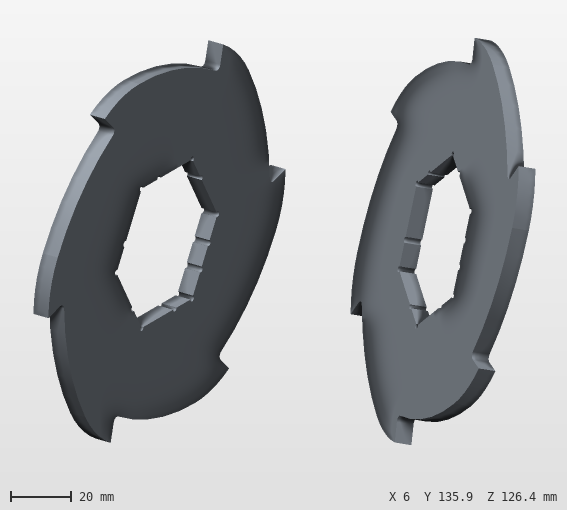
import cadquery as cq
import math

THICKNESS = 6.0
TOOTH_COUNT = 6
TOOTH_PITCH = 360.0 / TOOTH_COUNT

TIP_RADIUS = 67.99
TIP_ANGLE = -1.65
FACE_SLOPE = -15.4
CREST_ARC_RADIUS = 40.3
BACK_ARC_RADIUS = 89.1
JOINT_RADIUS = 65.16
JOINT_ANGLE = 15.97
ROOT_FILLET = 1.85

HEX_SIDES = 6
HEX_ACROSS_FLATS = 50.1
NOTCH_RADIUS = 1.0
NOTCH_OFFSET = 4.5
MARKED_SIDE = 3

HEX_INRADIUS = HEX_ACROSS_FLATS / 2
HEX_CIRCUMRADIUS = HEX_INRADIUS / math.cos(math.pi / HEX_SIDES)


def polar(radius, degrees):
    """Point at a given distance and direction from the disc axis."""
    angle = math.radians(degrees)
    return cq.Vector(radius * math.cos(angle), radius * math.sin(angle))


def turn(point, degrees):
    """Rotate a point or direction about the disc axis."""
    x, y = point.x, point.y
    angle = math.radians(degrees)
    cosine = math.cos(angle)
    sine = math.sin(angle)
    return cq.Vector(x * cosine - y * sine, x * sine + y * cosine)


def flat(point):
    """Planar coordinates of a point."""
    return point.x, point.y


def arc_middle(center, radius, start, end):
    """Point halfway along the minor arc from start to end."""
    return center + ((start + end) * 0.5 - center).normalized() * radius


def disc_plane():
    """Plane of the -X face: local x runs along -Y, local y along +Z."""
    return cq.Workplane(cq.Plane(origin=(0, 0, 0), xDir=(0, -1, 0), normal=(-1, 0, 0)))


def tooth_points():
    """Points of one tooth, from its tip counter-clockwise to the next tip."""
    tip = polar(TIP_RADIUS, TIP_ANGLE)
    joint = polar(JOINT_RADIUS, JOINT_ANGLE)

    chord = joint - tip
    inward = turn(chord.normalized(), 90)
    sag_leg = math.sqrt(CREST_ARC_RADIUS**2 - (chord.Length / 2) ** 2)
    crest_center = (tip + joint) * 0.5 + inward * sag_leg

    back_center = joint + (crest_center - joint).normalized() * BACK_ARC_RADIUS

    next_tip = turn(tip, TOOTH_PITCH)
    face_inward = polar(-1, FACE_SLOPE + TOOTH_PITCH)
    root = root_points(next_tip, face_inward, back_center)
    back_end = root[0]

    return [
        arc_middle(crest_center, CREST_ARC_RADIUS, tip, joint),
        joint,
        arc_middle(back_center, BACK_ARC_RADIUS, joint, back_end),
        *root,
        next_tip,
    ]


def root_points(face_tip, face_inward, back_center):
    """Points of the fillet from the back arc to the cutting face."""
    face_normal = turn(face_inward, 90)

    fillet_reach = BACK_ARC_RADIUS + ROOT_FILLET
    line_start = face_tip + face_normal * ROOT_FILLET
    to_start = line_start - back_center
    along = to_start.dot(face_inward)
    travel = -along - math.sqrt(along**2 - to_start.dot(to_start) + fillet_reach**2)
    fillet_center = line_start + face_inward * travel

    back_end = back_center + (fillet_center - back_center).normalized() * BACK_ARC_RADIUS
    face_end = fillet_center - face_normal * ROOT_FILLET
    return [
        back_end,
        arc_middle(fillet_center, ROOT_FILLET, back_end, face_end),
        face_end,
    ]


def toothed_disc():
    """Disc whose rim repeats the tooth profile all the way round."""
    outline = disc_plane().moveTo(*flat(polar(TIP_RADIUS, TIP_ANGLE)))
    points = tooth_points()
    for index in range(TOOTH_COUNT):
        placed = [flat(turn(point, index * TOOTH_PITCH)) for point in points]
        *arc_points, next_tip = placed
        for middle, end in zip(arc_points[::2], arc_points[1::2]):
            outline = outline.threePointArc(middle, end)
        outline = outline.lineTo(*next_tip)
    return outline.close().extrude(-THICKNESS)


def notch_centers():
    """Corner reliefs, one notch per side and a second one on the marked side."""
    step = 360.0 / HEX_SIDES
    first_side = step / 2
    side_notch = cq.Vector(HEX_INRADIUS, -NOTCH_OFFSET)
    mirrored_notch = cq.Vector(HEX_INRADIUS, NOTCH_OFFSET)
    centers = []
    for side in range(HEX_SIDES):
        centers.append(polar(HEX_CIRCUMRADIUS, side * step))
        centers.append(turn(side_notch, first_side + side * step))
    centers.append(turn(mirrored_notch, first_side + MARKED_SIDE * step))
    return [flat(center) for center in centers]


def bore():
    """Hexagonal through hole together with its relief notches."""
    hexagon = disc_plane().polygon(HEX_SIDES, 2 * HEX_CIRCUMRADIUS).extrude(-THICKNESS)
    notches = disc_plane().pushPoints(notch_centers()).circle(NOTCH_RADIUS).extrude(-THICKNESS)
    return hexagon.union(notches)


result = toothed_disc().cut(bore())